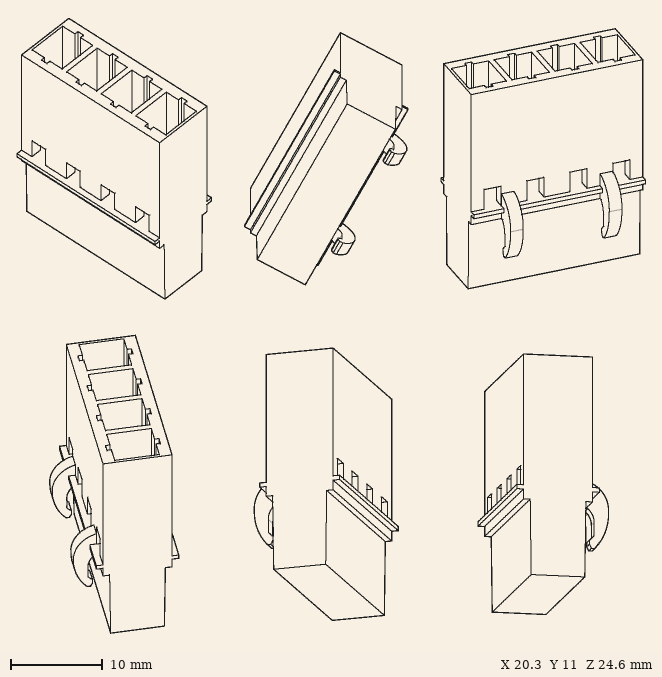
import cadquery as cq

cell_count = 4
width = 20.33
height = 24.55
pitch = width / cell_count

body_depth = 7.68
shoulder_z = 8.4
plug_top_depth = 6.2
plug_bottom_depth = 6.0
flange_depth = 9.18
flange_thickness = 0.5
floor_z = 10.0

cell_width = 4.42
cell_depth = 4.95
key_width = 0.8
key_depth = 0.5

window_width = 2.01
window_height = 2.43

hook_width = 1.5
hook_spacing = 11.69
hook_reach = 6.4
hook_root_z = 11.46
hook_bulge_z = 8.03
hook_tip_z = 4.0
hook_inner_y = 4.79
hook_catch_y = 4.27
hook_overlap = 0.25


def block(size_x, size_y, z_low, z_high):
    """Box centred on X and Y between two heights."""
    box = cq.Workplane("XY").box(size_x, size_y, z_high - z_low, centered=(True, True, False))
    return box.translate((0, 0, z_low))


def make_plug():
    """Lower plug, narrowing in depth towards the bottom."""
    return (
        cq.Workplane("YZ")
        .moveTo(-plug_bottom_depth / 2, 0)
        .lineTo(plug_bottom_depth / 2, 0)
        .lineTo(plug_top_depth / 2, shoulder_z)
        .lineTo(-plug_top_depth / 2, shoulder_z)
        .close()
        .extrude(width / 2, both=True)
    )


def make_hook():
    """Curved latch hook hanging from the back wall, centred on X = 0."""
    root_y = body_depth / 2 - hook_overlap
    return (
        cq.Workplane("YZ")
        .moveTo(root_y, shoulder_z)
        .lineTo(root_y, hook_root_z)
        .lineTo(body_depth / 2, hook_root_z)
        .threePointArc((5.5, 10.53), (hook_reach, hook_bulge_z))
        .threePointArc((6.14, 6.14), (4.89, hook_tip_z))
        .lineTo(4.5, hook_tip_z)
        .lineTo(hook_catch_y, 4.45)
        .lineTo(hook_catch_y, 4.9)
        .lineTo(hook_inner_y, 5.4)
        .lineTo(hook_inner_y, 6.87)
        .threePointArc((4.55, 7.83), (4.08, shoulder_z))
        .close()
        .extrude(hook_width / 2, both=True)
    )


def make_cell_cutter():
    """Space removed for one cell: cavity, key grooves and windows."""
    cavity = block(cell_width, cell_depth, floor_z, height)
    grooves = block(key_width, cell_depth + 2 * key_depth, floor_z, height)
    windows = block(window_width, body_depth, floor_z, floor_z + window_height)
    return cavity.union(grooves).union(windows)


housing = block(width, body_depth, shoulder_z, height)
housing = housing.union(block(width, flange_depth, floor_z - flange_thickness, floor_z))
housing = housing.union(make_plug())

for side in (-1, 1):
    housing = housing.union(make_hook().translate((side * hook_spacing / 2, 0, 0)))

for index in range(cell_count):
    cell_x = (index - (cell_count - 1) / 2) * pitch
    housing = housing.cut(make_cell_cutter().translate((cell_x, 0, 0)))

result = housing